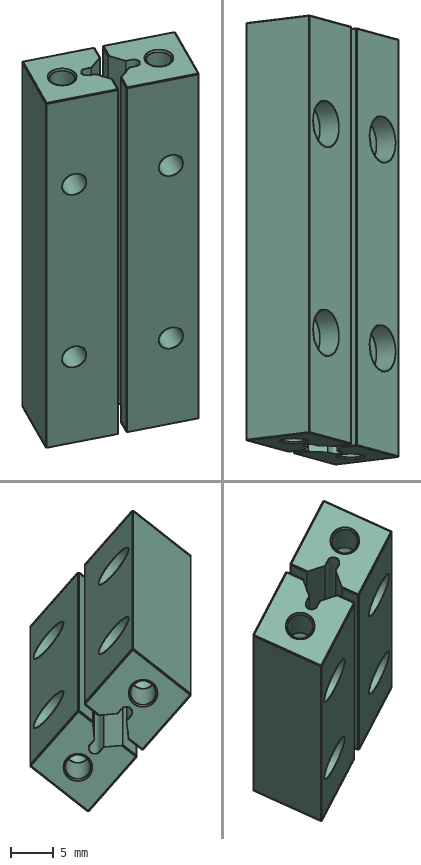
import cadquery as cq
import math

rail_length = 50.0
rail_side = 9.0
rail_gap = 1.0
edge_chamfer = 0.1
gap_edge_chamfer = 0.15

roller_diameter = 4.0
relief_width = 1.4
relief_bottom = 3.6

hole_line_offset = 6.0
mount_spacing = 25.0
mount_diameter = 3.0
counterbore_diameter = 5.5
counterbore_depth = 2.7

end_hole_diameter = 3.0
end_hole_depth = 6.0
end_countersink_diameter = 3.4
drill_point_angle = 90.0

half_side = rail_side / 2
half_length = rail_length / 2
face_y = rail_gap / 2
groove_apex = roller_diameter / 2 * math.sqrt(2)


def rail_blank():
    """Square bar with all its edges broken, the -X edge of its gap face a little more."""
    bar = cq.Workplane("XY").box(rail_side, rail_side, rail_length)
    bar = bar.edges("|Z and <X and <Y").chamfer(gap_edge_chamfer)
    bar = bar.edges("|Z and (>Y or >X)").chamfer(edge_chamfer)
    bar = bar.faces("<Z or >Z").edges().chamfer(edge_chamfer)
    return bar.translate((0, face_y + half_side, 0))


def groove_cutter():
    """Full-length V-groove joined to its round-bottomed relief slot."""
    half_slot = relief_width / 2
    slot_shoulder = relief_bottom - half_slot
    slot_mouth = groove_apex - half_slot
    return (
        cq.Workplane("XY", origin=(0, 0, -half_length))
        .moveTo(-groove_apex, 0)
        .lineTo(-half_slot, slot_mouth)
        .lineTo(-half_slot, slot_shoulder)
        .threePointArc((0, relief_bottom), (half_slot, slot_shoulder))
        .lineTo(half_slot, slot_mouth)
        .lineTo(groove_apex, 0)
        .close()
        .extrude(rail_length)
    )


def mounting_hole_cutter(z):
    """Through hole along X with a counterbore entering from the -X face."""
    entry = cq.Workplane("YZ", origin=(-half_side, hole_line_offset, z))
    hole = entry.circle(mount_diameter / 2).extrude(rail_side)
    counterbore = entry.circle(counterbore_diameter / 2).extrude(counterbore_depth)
    return hole.union(counterbore)


def end_hole_cutter():
    """Countersunk blind hole with a drill point, entering from the +Z end."""
    radius = end_hole_diameter / 2
    mouth_radius = end_countersink_diameter / 2
    countersink_depth = mouth_radius - radius
    point_depth = radius / math.tan(math.radians(drill_point_angle / 2))
    return (
        cq.Workplane("XZ")
        .moveTo(0, half_length)
        .lineTo(mouth_radius, half_length)
        .lineTo(radius, half_length - countersink_depth)
        .lineTo(radius, half_length - end_hole_depth)
        .lineTo(0, half_length - end_hole_depth - point_depth)
        .close()
        .revolve(360, (0, 0, 0), (0, 1, 0))
        .translate((0, hole_line_offset, 0))
    )


def make_rail():
    """Rail on the +Y side of the mid-plane."""
    rail = rail_blank().cut(groove_cutter())
    for z in (-mount_spacing / 2, mount_spacing / 2):
        rail = rail.cut(mounting_hole_cutter(z))
    top_hole = end_hole_cutter()
    return rail.cut(top_hole).cut(top_hole.mirror("XY"))


rails = []
for mirrored in (False, True):
    rail = make_rail()
    if mirrored:
        rail = rail.mirror("XZ")
    rails.append(rail.val())

result = cq.Compound.makeCompound(rails)